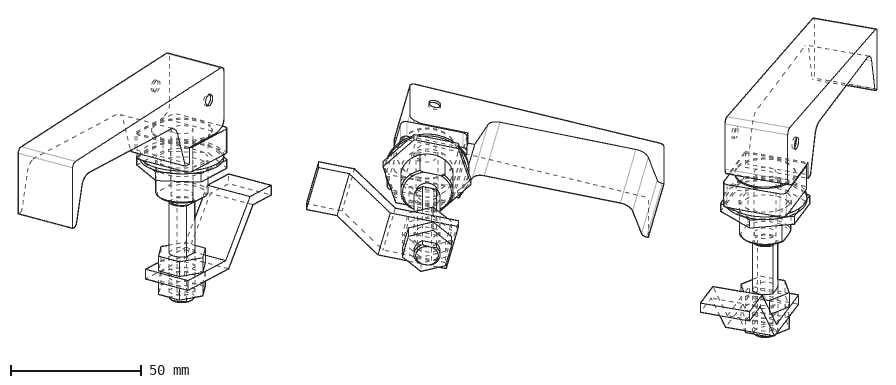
import cadquery as cq
import math


flange_diameter = 32.0
flange_height = 1.2
base_width = 25.5
base_length = 26.0
base_top = 11.2
base_corner_radius = 2.0
disc_radius = 11.6
disc_height = 0.5
disc_top = base_top + disc_height
barrel_radius = 10.0
barrel_flats = 17.4
barrel_length = 14.7
barrel_chamfer = 0.7

panel_nut_flats = 30.0
panel_nut_height = 3.5
panel_nut_turn = 30

rod_radius = 5.0
rod_flats = 8.4
neck_radius = rod_flats / 2
neck_end = -17.8
rod_end = -57.8
rod_chamfer = 0.7

cam_width = 20.0
cam_thickness = 4.0
cam_low_top = -44.8
cam_high_top = -23.8
cam_front = -10.0
cam_low_bend = 14.8
cam_high_bend = 30.9
cam_back = 45.0
clamp_nut_flats = 17.0
upper_nut_height = 6.1
lower_nut_height = 5.7

handle_width = base_width
handle_back = 9.9
handle_front = -90.0
handle_top = 37.8
handle_top_slope = math.radians(4.0)
grip_underside = 23.4
nose_bottom = 4.9
nose_tip = -15.7
nose_top = -22.0
hook_bottom = 3.9
hook_tip = -87.8
hook_top = -82.9
grip_fillet = 5.0
back_top_fillet = 2.0
front_top_fillet = 2.0
hook_tip_fillet = 2.0
pin_hole_height = 26.9
pin_hole_diameter = 4.6
pin_hole_depth = 1.0
heel_radius = 16.0
heel_fillet = 3.4


def double_flat_bar(radius, across_flats, bottom, top, chamfer):
    """Round bar along Z, chamfered at its lower end, with two flats that face -X and +X."""
    length = top - bottom
    start = cq.Workplane("XY").workplane(offset=bottom)
    bar = start.circle(radius).extrude(length)
    slab = start.rect(across_flats, 2 * radius).extrude(length)
    return bar.faces("<Z").chamfer(chamfer).intersect(slab)


def hexagon(across_flats, bottom, height, turn=0):
    """Hexagonal prism along Z; at zero turn two of its corners lie on the X axis."""
    corner_diameter = across_flats / math.cos(math.pi / 6)
    prism = cq.Workplane("XY").workplane(offset=bottom).polygon(6, corner_diameter).extrude(height)
    return prism.rotate((0, 0, 0), (0, 0, 1), turn)


def make_rod():
    shank = double_flat_bar(rod_radius, rod_flats, rod_end, neck_end, rod_chamfer)
    neck = cq.Workplane("XY").workplane(offset=neck_end).circle(neck_radius).extrude(disc_top - neck_end)
    return shank.union(neck)


def make_housing(rod):
    flange = cq.Workplane("XY").circle(flange_diameter / 2).extrude(flange_height)
    base = cq.Workplane("XY").workplane(offset=flange_height)
    base = base.rect(base_width, base_length).extrude(base_top - flange_height)
    base = base.edges("|Z").fillet(base_corner_radius)
    disc = cq.Workplane("XY").circle(disc_radius).extrude(disc_top)
    barrel = double_flat_bar(barrel_radius, barrel_flats, -barrel_length, 0, barrel_chamfer)
    return flange.union(base).union(disc).union(barrel).cut(rod)


def make_panel_nut():
    """Hexagonal nut under the flange, with corners on the Y axis and a round bore."""
    nut = hexagon(panel_nut_flats, -panel_nut_height, panel_nut_height, panel_nut_turn)
    return nut.faces("<Z").workplane().circle(barrel_radius).cutThruAll()


def make_cam(rod):
    """Flat bar with two bends, cranked up toward its free end."""
    rise = cam_high_top - cam_low_top
    ramp_angle = math.atan2(rise, cam_high_bend - cam_low_bend)
    bend_shift = cam_thickness * math.tan(ramp_angle / 2)
    outline = [
        (cam_front, cam_low_top),
        (cam_low_bend, cam_low_top),
        (cam_high_bend, cam_high_top),
        (cam_back, cam_high_top),
        (cam_back, cam_high_top - cam_thickness),
        (cam_high_bend + bend_shift, cam_high_top - cam_thickness),
        (cam_low_bend + bend_shift, cam_low_top - cam_thickness),
        (cam_front, cam_low_top - cam_thickness),
    ]
    cam = cq.Workplane("YZ").polyline(outline).close().extrude(cam_width / 2, both=True)
    return cam.cut(rod)


def make_clamp_nut(bottom, height, rod):
    return hexagon(clamp_nut_flats, bottom, height).cut(rod)


def make_handle():
    front_top = handle_top - (handle_back - handle_front) * math.tan(handle_top_slope)
    base_front = -base_length / 2

    heel_bottom_y = math.sqrt(heel_radius**2 - (pin_hole_height - disc_top) ** 2)
    heel_back_z = pin_hole_height - math.sqrt(heel_radius**2 - handle_back**2)
    middle_angle = (math.asin(heel_bottom_y / heel_radius) + math.asin(handle_back / heel_radius)) / 2
    heel_middle = (
        heel_radius * math.sin(middle_angle),
        pin_hole_height - heel_radius * math.cos(middle_angle),
    )

    outline = [
        (handle_back, handle_top),
        (handle_front, front_top),
        (handle_front, hook_bottom),
        (hook_tip, hook_bottom),
        (hook_top, grip_underside),
        (nose_top, grip_underside),
        (nose_tip, nose_bottom),
        (base_front, nose_bottom),
        (base_front, disc_top),
        (heel_bottom_y, disc_top),
    ]
    heel_end = (handle_back, heel_back_z)
    profile = cq.Workplane("YZ").polyline(outline).threePointArc(heel_middle, heel_end).close()
    handle = profile.extrude(handle_width / 2, both=True)

    corner_fillets = [
        (handle_back, handle_top, back_top_fillet),
        (handle_front, front_top, front_top_fillet),
        (hook_tip, hook_bottom, hook_tip_fillet),
        (hook_top, grip_underside, grip_fillet),
        (nose_top, grip_underside, grip_fillet),
        (handle_back, heel_back_z, heel_fillet),
    ]
    for y, z, radius in corner_fillets:
        handle = handle.edges(cq.NearestToPointSelector((0, y, z))).fillet(radius)

    for side in (-1, 1):
        hole = (
            cq.Workplane("YZ", origin=(side * handle_width / 2, 0, pin_hole_height))
            .circle(pin_hole_diameter / 2)
            .extrude(-side * pin_hole_depth)
        )
        handle = handle.cut(hole)
    return handle


rod = make_rod()
housing = make_housing(rod)
panel_nut = make_panel_nut()
cam = make_cam(rod)
clamp_nut_places = [
    (cam_low_top, upper_nut_height),
    (cam_low_top - cam_thickness - lower_nut_height, lower_nut_height),
]
clamp_nuts = [make_clamp_nut(bottom, height, rod) for bottom, height in clamp_nut_places]
handle = make_handle()

result = cq.Compound.makeCompound(
    [
        handle.val(),
        housing.val(),
        panel_nut.val(),
        rod.val(),
        cam.val(),
        *[nut.val() for nut in clamp_nuts],
    ]
)